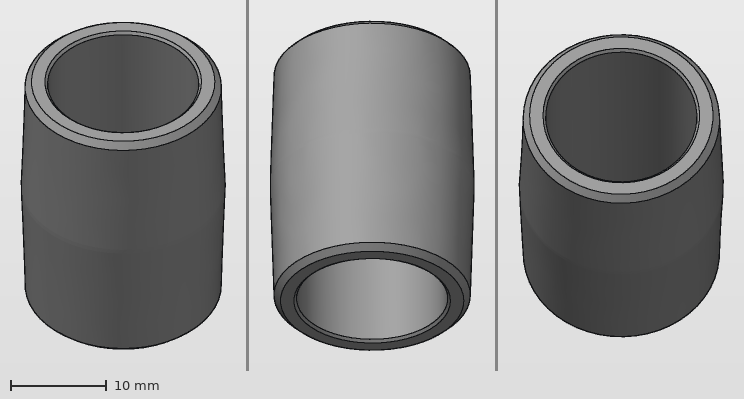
import cadquery as cq

length = 28.57
band_diameter = 21.35
shoulder_diameter = 20.55
bore_diameter = 15.8

band_width = 0.5
band_bottom = (length - band_width) / 2
band_top = band_bottom + band_width

outer_chamfer = 0.69
bore_chamfer = 0.29

band_radius = band_diameter / 2
shoulder_radius = shoulder_diameter / 2
end_radius = shoulder_radius - outer_chamfer
bore_radius = bore_diameter / 2
bore_mouth_radius = bore_radius + bore_chamfer
lower_shoulder = outer_chamfer
upper_shoulder = length - outer_chamfer

half_section = (
    cq.Workplane("XZ")
    .moveTo(bore_mouth_radius, 0)
    .lineTo(end_radius, 0)
    .lineTo(shoulder_radius, lower_shoulder)
    .lineTo(band_radius, band_bottom)
    .lineTo(band_radius, band_top)
    .lineTo(shoulder_radius, upper_shoulder)
    .lineTo(end_radius, length)
    .lineTo(bore_mouth_radius, length)
    .lineTo(bore_radius, length - bore_chamfer)
    .lineTo(bore_radius, bore_chamfer)
    .close()
)

result = half_section.revolve(360, (0, 0, 0), (0, 1, 0))